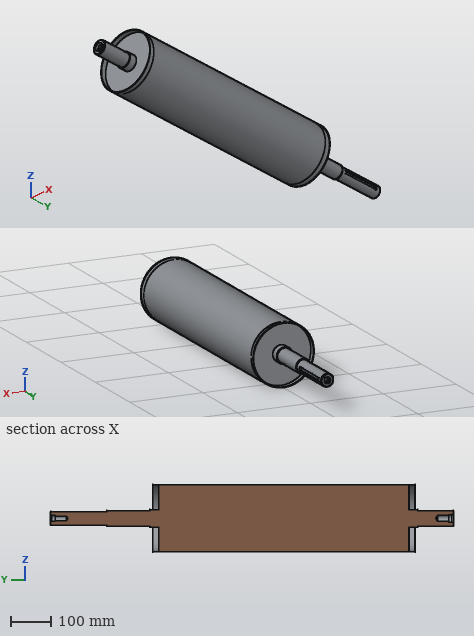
import cadquery as cq
import math

total_length = 1000.0
front_end = -total_length / 2
back_end = total_length / 2

drum_diameter = 168.0
drum_length = 650.0
recess_diameter = 164.0
recess_depth = 15.0

collar_diameter = 45.0
collar_projection = 7.0
journal_diameter = 40.0
front_journal_length = 96.0
drive_diameter = 35.0
drive_length = 140.0
end_chamfer = 2.0

key_width = 10.0
key_depth = 5.0
key_length = 110.0
key_end_margin = 15.0

countersink_half_angle = 30
drill_half_angle = 59
front_mouth_diameter = 23.0
front_counterbore_diameter = 17.0
front_bore_diameter = 14.0
back_mouth_diameter = 18.0
back_counterbore_diameter = 13.0
back_bore_diameter = 10.0
counterbore_depth = 12.0
bore_depth = 40.0

drum_front = front_end + front_journal_length
drum_back = drum_front + drum_length
drive_start = back_end - drive_length


def cylinder(diameter, start, end):
    """Cylinder on the Y axis between two Y positions."""
    plane = cq.Plane(origin=(0, start, 0), xDir=(1, 0, 0), normal=(0, 1, 0))
    return cq.Workplane(plane).circle(diameter / 2).extrude(end - start)


def make_drum():
    drum = cylinder(drum_diameter, drum_front, drum_back)
    drum = drum.cut(cylinder(recess_diameter, drum_front, drum_front + recess_depth))
    return drum.cut(cylinder(recess_diameter, drum_back - recess_depth, drum_back))


def make_shaft():
    collar = cylinder(collar_diameter, drum_front - collar_projection, drum_back + collar_projection)
    journal = cylinder(journal_diameter, front_end, drive_start).faces("<Y").chamfer(end_chamfer)
    drive = cylinder(drive_diameter, drive_start, back_end).faces(">Y").chamfer(end_chamfer)
    return collar.union(journal).union(drive)


def make_keyway():
    floor_x = drive_diameter / 2 - key_depth
    return cq.Workplane("XY").box(key_depth, key_length, key_width, centered=(False, False, True)).translate(
        (floor_x, back_end - key_end_margin - key_length, 0)
    )


def make_centre_hole(mouth_diameter, counterbore_diameter, bore_diameter):
    """Centre hole for the front end, running inwards along +Y."""
    mouth_radius = mouth_diameter / 2
    counterbore_radius = counterbore_diameter / 2
    bore_radius = bore_diameter / 2
    countersink_depth = (mouth_radius - counterbore_radius) / math.tan(math.radians(countersink_half_angle))
    point_length = bore_radius / math.tan(math.radians(drill_half_angle))
    profile = [
        (0, front_end),
        (mouth_radius, front_end),
        (counterbore_radius, front_end + countersink_depth),
        (counterbore_radius, front_end + counterbore_depth),
        (bore_radius, front_end + counterbore_depth),
        (bore_radius, front_end + bore_depth),
        (0, front_end + bore_depth + point_length),
    ]
    return cq.Workplane("XY").polyline(profile).close().revolve(360, (0, 0, 0), (0, 1, 0))


front_hole = make_centre_hole(front_mouth_diameter, front_counterbore_diameter, front_bore_diameter)
back_hole = make_centre_hole(back_mouth_diameter, back_counterbore_diameter, back_bore_diameter).mirror("XZ")
result = make_drum().union(make_shaft()).cut(make_keyway()).cut(front_hole).cut(back_hole)